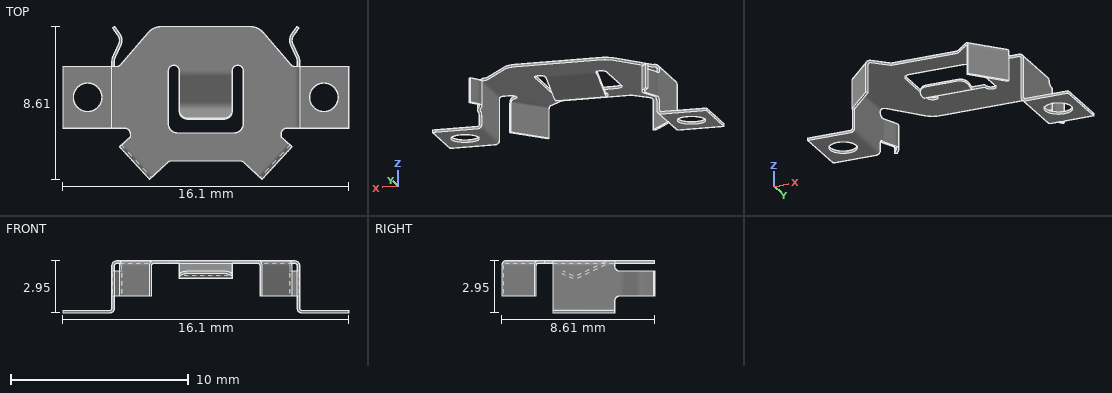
import cadquery as cq
import math

thickness = 0.15
half = thickness / 2
overall_length = 16.1
overall_height = 2.95
fold_radius = 0.15
fold_reach = fold_radius + thickness

panel_back = 4.0
panel_back_half_width = 2.95
panel_front = -3.59
waist_half_width = 4.25
shoulder_half_width = 4.88
back_corner_radius = 1.0
small_corner_radius = 0.24
waist_corner_radius = 0.3

leg_width = 3.5
leg_outer = 5.3
foot_fold_radius = 0.1
foot_hole_diameter = 1.6
foot_hole_x = 6.65

tab_angle = 42.7
tab_width = 2.5
tab_outer = 5.45
tab_drop = 2.0

arm_drop = 0.58
arm_root_radius = 0.27
arm_first_bend = 0.4
arm_bulge = 0.52
arm_bulge_distance = 1.51
arm_tip_inset = 0.03
arm_tip_distance = 2.2
arm_first_radius = 0.58
arm_bulge_radius = 0.48

tongue_width = 3.0
tongue_bend_y = 1.35
tongue_low_y = -0.5
tongue_low_drop = 0.9
tongue_tip_y = -1.2
tongue_tip_rise = 0.32
tongue_radius = 0.5
tongue_corner_radius = 0.5
window_width = 4.2
window_front = -2.0
window_corner_radius = 0.5
slot_end_y = 1.5

panel_overlap = 0.03

panel_mid_z = overall_height - half
fold_line_x = leg_outer - fold_reach
leg_edge = leg_width / 2
leg_mid_x = leg_outer - half


def fillet_nearest(body, point, radius):
    """Round the one edge of the body whose centre is closest to the point."""
    return body.edges(cq.selectors.NearestToPointSelector(point)).fillet(radius)


def folded_strip(plane, path, bend_radii, width):
    """Bent strip of sheet: mid-thickness path in the plane, inside radius at each bend."""
    headings = [math.atan2(b[1] - a[1], b[0] - a[0]) for a, b in zip(path, path[1:])]
    before = headings[:1] + headings
    after = headings + headings[-1:]

    def side(offset):
        points = []
        for (u, v), start, end in zip(path, before, after):
            direction = (start + end) / 2
            reach = offset / math.cos((end - start) / 2)
            points.append((u - reach * math.sin(direction), v + reach * math.cos(direction)))
        return points

    left = side(half)
    right = side(-half)
    strip = cq.Workplane(plane).polyline(left + right[::-1]).close().extrude(width / 2, both=True)
    for i, inside_radius in enumerate(bend_radii, start=1):
        turns_left = headings[i] > headings[i - 1]
        inner, outer = (left[i], right[i]) if turns_left else (right[i], left[i])
        for (u, v), radius in ((inner, inside_radius), (outer, inside_radius + thickness)):
            strip = fillet_nearest(strip, plane.toWorldCoords((u, v, 0)), radius)
    return strip


def upright_plane(angle):
    """Vertical plane through the Z axis, with its first axis along the given angle from X."""
    radians = math.radians(angle)
    along = (math.cos(radians), math.sin(radians), 0)
    normal = (math.sin(radians), -math.cos(radians), 0)
    return cq.Plane(origin=(0, 0, 0), xDir=along, normal=normal)


def half_panel():
    """Right half of the flat top panel, ending at the fold lines."""
    cosine = math.cos(math.radians(tab_angle))
    sine = math.sin(math.radians(tab_angle))
    tab_half = tab_width / 2

    def tab_point(outward, sideways):
        return (outward * cosine + sideways * sine, -outward * sine + sideways * cosine)

    tab_fold = tab_outer - fold_reach
    notch = tab_point((waist_half_width - tab_half * sine) / cosine, tab_half)
    front_corner = tab_point((-panel_front - tab_half * cosine) / sine, -tab_half)
    back_corner = (panel_back_half_width, panel_back)
    shoulder = (shoulder_half_width, leg_edge)
    waist = (waist_half_width, -leg_edge)
    outline = [
        (0, panel_back),
        back_corner,
        shoulder,
        (fold_line_x, leg_edge),
        (fold_line_x, -leg_edge),
        waist,
        notch,
        tab_point(tab_fold, tab_half),
        tab_point(tab_fold, -tab_half),
        front_corner,
        (0, panel_front),
    ]
    panel = cq.Workplane("XY", origin=(0, 0, panel_mid_z)).polyline(outline).close()
    panel = panel.extrude(half, both=True)
    roundings = (
        (back_corner, back_corner_radius),
        (shoulder, small_corner_radius),
        (waist, waist_corner_radius),
        (front_corner, small_corner_radius),
    )
    for (x, y), radius in roundings:
        panel = fillet_nearest(panel, (x, y, panel_mid_z), radius)
    return panel


def leg_with_foot():
    path = [
        (fold_line_x - panel_overlap, panel_mid_z),
        (leg_mid_x, panel_mid_z),
        (leg_mid_x, half),
        (overall_length / 2, half),
    ]
    leg = folded_strip(upright_plane(0), path, [fold_radius, foot_fold_radius], leg_width)
    hole = cq.Workplane("XY").center(foot_hole_x, 0).circle(foot_hole_diameter / 2).extrude(thickness)
    return leg.cut(hole)


def corner_tab():
    tab_mid = tab_outer - half
    path = [
        (tab_outer - fold_reach - panel_overlap, panel_mid_z),
        (tab_mid, panel_mid_z),
        (tab_mid, overall_height - tab_drop),
    ]
    return folded_strip(upright_plane(-tab_angle), path, [fold_radius], tab_width)


def spring_arm():
    arm_mid_z = overall_height - (arm_drop + tab_drop) / 2
    path = [
        (leg_mid_x, leg_edge),
        (leg_mid_x, leg_edge + arm_first_bend),
        (leg_mid_x - arm_bulge, leg_edge + arm_bulge_distance),
        (leg_mid_x - arm_tip_inset, leg_edge + arm_tip_distance),
    ]
    plane = cq.Plane(origin=(0, 0, arm_mid_z), xDir=(1, 0, 0), normal=(0, 0, 1))
    return folded_strip(plane, path, [arm_first_radius, arm_bulge_radius], tab_drop - arm_drop)


def leg_with_arm():
    """Leg and spring arm joined, with the arm root rounded above and below."""
    leg = leg_with_foot().union(spring_arm())
    for drop in (arm_drop, tab_drop):
        leg = fillet_nearest(leg, (leg_mid_x, leg_edge, overall_height - drop), arm_root_radius)
    return leg


def window():
    """U-shaped opening: a rounded rectangle with two round-ended slots beside the tongue."""
    slot_width = (window_width - tongue_width) / 2
    slot_x = (window_width - slot_width) / 2
    base = cq.Workplane("XY", origin=(0, 0, overall_height - thickness))
    length = slot_end_y - window_front
    opening = base.center(0, window_front + length / 2).rect(window_width, length).extrude(thickness)
    opening = opening.edges("|Z and <Y").fillet(window_corner_radius)
    slot_ends = base.pushPoints([(-slot_x, slot_end_y), (slot_x, slot_end_y)])
    return opening.union(slot_ends.circle(slot_width / 2).extrude(thickness))


def tongue():
    low_z = panel_mid_z - tongue_low_drop
    tip = (tongue_tip_y, low_z + tongue_tip_rise)
    path = [
        tip,
        (tongue_low_y, low_z),
        (tongue_bend_y, panel_mid_z),
        (slot_end_y + panel_overlap, panel_mid_z),
    ]
    strip = folded_strip(upright_plane(90), path, [tongue_radius, tongue_radius], tongue_width)
    for x in (-tongue_width / 2, tongue_width / 2):
        strip = fillet_nearest(strip, (x, *tip), tongue_corner_radius)
    return strip


right_side = half_panel().union(leg_with_arm()).union(corner_tab())
clip = right_side.union(right_side.mirror("YZ"))
result = clip.cut(window()).union(tongue())